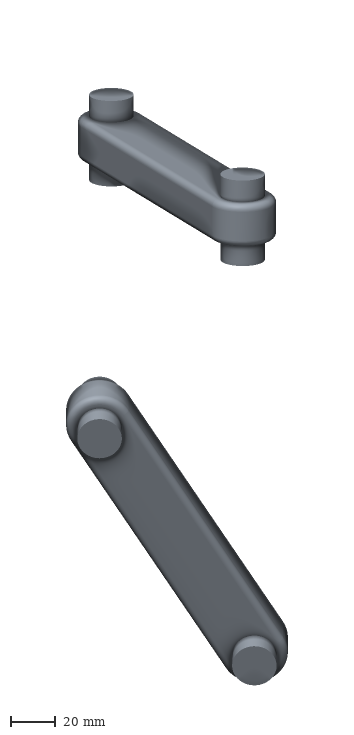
import cadquery as cq
import math

overall_length = 162.2
overall_width = 57.0
overall_height = 40.0
bar_width = 30.0
bar_thickness = 20.0
edge_radius = 3.1
pin_diameter = 20.0

pin_offset_x = overall_length - bar_width
pin_offset_y = -(overall_width - bar_width)
pin_spacing = math.hypot(pin_offset_x, pin_offset_y)
bar_angle = math.degrees(math.atan2(pin_offset_y, pin_offset_x))


def make_bar():
    """Round-ended link with both rims rounded, lying along X."""
    return (
        cq.Workplane("XY")
        .slot2D(pin_spacing + bar_width, bar_width)
        .extrude(bar_thickness / 2, both=True)
        .faces("|Z")
        .edges()
        .fillet(edge_radius)
    )


def make_pins():
    """Two pins that stand out equally above and below the bar."""
    return (
        cq.Workplane("XY")
        .pushPoints([(-pin_spacing / 2, 0), (pin_spacing / 2, 0)])
        .circle(pin_diameter / 2)
        .extrude(overall_height / 2, both=True)
    )


result = make_bar().union(make_pins()).rotate((0, 0, 0), (0, 0, 1), bar_angle)